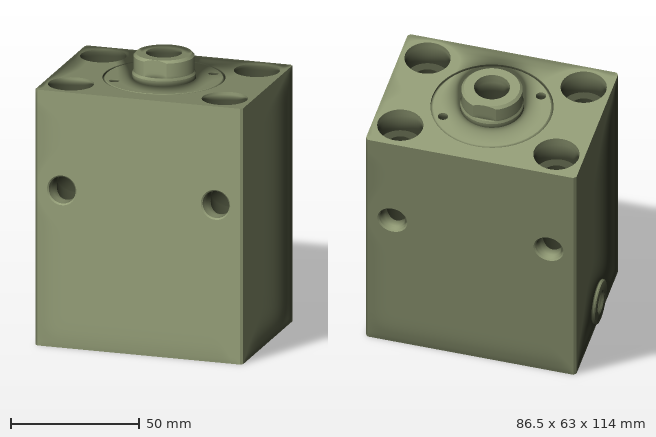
import cadquery as cq
import math

block_length = 85.0
block_width = 63.0
block_height = 104.0
edge_chamfer = 1.0

bolt_pitch_x = 63.0
bolt_pitch_y = 40.0
bolt_hole_diameter = 11.0
counterbore_diameter = 18.0
counterbore_depth = 11.0
cross_hole_diameter = 11.0
cross_hole_drop = 40.0
cross_hole_chamfer = 0.6

gland_diameter = 48.0
gland_depth = 30.0
gland_chamfer = 1.0
spanner_hole_diameter = 4.0
spanner_hole_depth = 5.0
spanner_hole_count = 2
spanner_circle_radius = 20.0
spanner_angle = 32.5

overall_height = 114.0
rod_diameter = 25.0
neck_diameter = 23.9
neck_base_rise = 3.0
shoulder_height = 1.0
neck_chamfer = 1.0
across_flats = 22.0
rod_bore_diameter = 14.0
rod_bore_depth = 25.0
drill_point_angle = 118.0

port_rise = 11.1
ring_diameter = 18.2
ring_bore_diameter = 8.8
ring_thickness = 1.5
ring_chamfer = 0.5
port_depth = 10.0

port_diameter = ring_bore_diameter + 2 * ring_chamfer
block_left = -block_length / 2
cross_hole_z = block_height - cross_hole_drop
bore_floor_z = block_height - gland_depth
bolt_columns = (-bolt_pitch_x / 2, bolt_pitch_x / 2)


def cylinder_up(diameter, bottom, top):
    """Cylinder on the Z axis between two heights."""
    return cq.Workplane("XY").workplane(offset=bottom).circle(diameter / 2).extrude(top - bottom)


def make_cross_hole(x):
    """Hole along Y through the block, widened by a chamfer at both mouths."""
    radius = cross_hole_diameter / 2
    mouth_radius = radius + cross_hole_chamfer
    half_width = block_width / 2
    straight_end = half_width - cross_hole_chamfer
    profile = [
        (0, -half_width),
        (mouth_radius, -half_width),
        (radius, -straight_end),
        (radius, straight_end),
        (mouth_radius, half_width),
        (0, half_width),
    ]
    hole = cq.Workplane("XY").polyline(profile).close().revolve(360, (0, 0, 0), (0, 1, 0))
    return hole.translate((x, 0, cross_hole_z))


def make_housing():
    """Block with the gland bore, bolt holes, cross holes and side port."""
    block = cq.Workplane("XY").box(block_length, block_width, block_height, centered=(True, True, False))
    block = block.edges("|Z").chamfer(edge_chamfer)
    block = (
        block.faces(">Z").workplane(origin=(0, 0, block_height))
        .rect(bolt_pitch_x, bolt_pitch_y, forConstruction=True)
        .vertices()
        .cboreHole(bolt_hole_diameter, counterbore_diameter, counterbore_depth)
    )
    for x in bolt_columns:
        block = block.cut(make_cross_hole(x))
    block = block.cut(cylinder_up(gland_diameter, bore_floor_z, block_height))
    port = (
        cq.Workplane("YZ", origin=(block_left, 0, port_rise))
        .circle(port_diameter / 2)
        .extrude(port_depth)
    )
    return block.cut(port)


def make_gland():
    """Chamfered guide bush with two blind spanner holes."""
    gland = cylinder_up(gland_diameter, bore_floor_z, block_height)
    gland = gland.faces(">Z").edges().chamfer(gland_chamfer)
    gland = gland.cut(cylinder_up(rod_diameter, bore_floor_z, block_height))
    spanner_holes = (
        cq.Workplane("XY", origin=(0, 0, block_height - spanner_hole_depth))
        .polarArray(spanner_circle_radius, spanner_angle, 360, spanner_hole_count)
        .circle(spanner_hole_diameter / 2)
        .extrude(spanner_hole_depth)
    )
    return gland.cut(spanner_holes)


def make_rod():
    """Stepped rod with two spanner flats and a drilled end bore."""
    rod_radius = rod_diameter / 2
    neck_radius = neck_diameter / 2
    neck_base_z = block_height + neck_base_rise
    bore_radius = rod_bore_diameter / 2
    bore_end_z = overall_height - rod_bore_depth
    drill_tip_z = bore_end_z - bore_radius / math.tan(math.radians(drill_point_angle / 2))
    profile = [
        (0, bore_floor_z),
        (rod_radius, bore_floor_z),
        (rod_radius, neck_base_z - shoulder_height),
        (neck_radius, neck_base_z),
        (neck_radius, overall_height - neck_chamfer),
        (neck_radius - neck_chamfer, overall_height),
        (bore_radius, overall_height),
        (bore_radius, bore_end_z),
        (0, drill_tip_z),
    ]
    rod = cq.Workplane("XZ").polyline(profile).close().revolve(360, (0, 0, 0), (0, 1, 0))
    neck_length = overall_height - neck_base_z
    between_flats = (
        cq.Workplane("XY", origin=(0, 0, neck_base_z))
        .rect(rod_diameter, across_flats)
        .extrude(neck_length)
    )
    shank = rod.intersect(cylinder_up(rod_diameter, bore_floor_z, neck_base_z))
    neck = rod.intersect(between_flats)
    return shank.union(neck)


def make_port_ring():
    """Ring seated on the block around the side port, chamfered on all four edges."""
    outer_radius = ring_diameter / 2
    inner_radius = ring_bore_diameter / 2
    front = -ring_thickness
    profile = [
        (0, inner_radius + ring_chamfer),
        (0, outer_radius - ring_chamfer),
        (-ring_chamfer, outer_radius),
        (front + ring_chamfer, outer_radius),
        (front, outer_radius - ring_chamfer),
        (front, inner_radius + ring_chamfer),
        (front + ring_chamfer, inner_radius),
        (-ring_chamfer, inner_radius),
    ]
    ring = cq.Workplane("XZ").polyline(profile).close().revolve(360, (0, 0, 0), (1, 0, 0))
    return ring.translate((block_left, 0, port_rise))


housing = make_housing()
gland = make_gland()
rod = make_rod()
port_ring = make_port_ring()

result = cq.Compound.makeCompound([housing.val(), gland.val(), rod.val(), port_ring.val()])